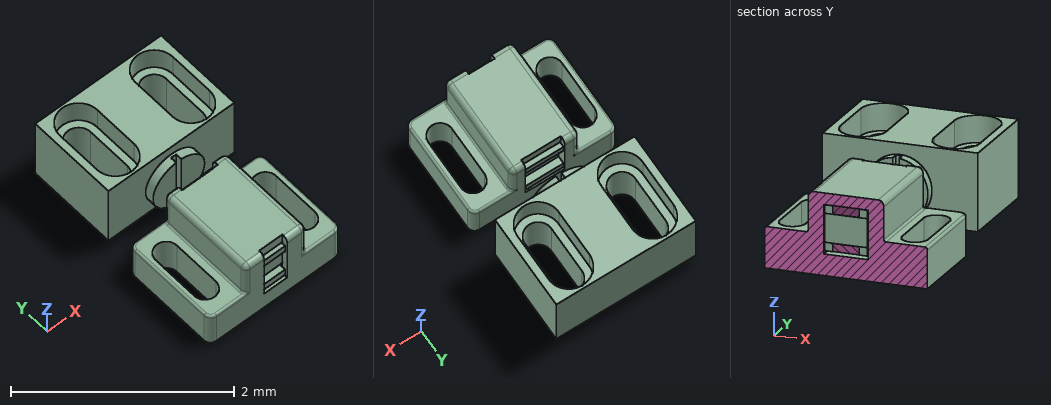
import cadquery as cq

housing_width = 1.57
housing_length = 1.10
flange_height = 0.40
hub_width = 0.73
hub_height = 0.79
flange_corner_radius = 0.08
flange_edge_radius = 0.025
hub_edge_radius = 0.058
hub_root_radius = 0.02
flange_slot_width = 0.25
flange_slot_length = 0.78
flange_slot_spacing = 1.18

cavity_floor = 0.21
opening_depth = 0.067
front_opening_width = 0.275
rear_opening_width = 0.425

plate_thickness = 0.08
lower_plate_bottom = 0.24
magnet_height = 0.275
magnet_front = 0.09
plate_side_clearance = 0.0085
plate_front_recess = 0.018
plate_rear_recess = 0.01

block_width = 1.50
block_length = 1.00
block_height = 0.75
block_bottom = 0.105
block_gap = 0.32
block_slot_spacing = 0.90
block_slot_straight = 0.50
block_slot_width = 0.28
counterbore_width = 0.44
counterbore_depth = 0.26

screw_diameter = 0.614
screw_head_height = 0.10
screw_axis_z = 0.44
driver_slot_width = 0.06
driver_slot_depth = 0.07

housing_middle_y = housing_length / 2
lower_plate_top = lower_plate_bottom + plate_thickness
upper_plate_bottom = lower_plate_top + magnet_height
upper_plate_top = upper_plate_bottom + plate_thickness
tab_width = front_opening_width - 2 * plate_side_clearance
plate_width = rear_opening_width - 2 * plate_side_clearance
plate_rear = housing_length - plate_rear_recess
block_front = housing_length + block_gap
block_middle_y = block_front + block_length / 2
block_top = block_bottom + block_height


def box_between(width, y_front, y_rear, z_bottom, z_top):
    """A box centred on x = 0 between the given y and z limits."""
    middle_y = (y_front + y_rear) / 2
    return (
        cq.Workplane("XY", origin=(0, middle_y, z_bottom))
        .box(width, y_rear - y_front, z_top - z_bottom, centered=(True, True, False))
    )


def slot_pair(spacing, middle_y, length, width, z_bottom, z_top):
    """Two upright slot-shaped cutters, long in Y, on either side of x = 0."""
    return (
        cq.Workplane("XY", origin=(0, middle_y, z_bottom))
        .pushPoints([(-spacing / 2, 0), (spacing / 2, 0)])
        .slot2D(length, width, 90)
        .extrude(z_top - z_bottom)
    )


def make_flange():
    """The rounded plate that carries the two mounting slots."""
    plate = box_between(housing_width, 0, housing_length, 0, flange_height)
    plate = plate.edges("|Z").fillet(flange_corner_radius)
    return plate.faces(">Z").edges().fillet(flange_edge_radius)


def make_hub():
    """The rounded raised middle, flush with the flange at both ends."""
    hub = box_between(hub_width, 0, housing_length, 0, hub_height)
    return hub.edges("|Z or >Z").fillet(hub_edge_radius)


def blend_hub_root(body):
    """Fillet the two inner corners where the hub sides rise from the flange top."""
    reach_x = hub_width / 2 + hub_root_radius
    root_region = cq.selectors.BoxSelector(
        (-reach_x, 0, flange_height - hub_root_radius),
        (reach_x, housing_length, flange_height + hub_root_radius),
    )
    return body.edges(root_region).edges("|Y").fillet(hub_root_radius)


def make_housing():
    """Flange and hub with mounting slots, end openings and the cavity that joins them."""
    body = blend_hub_root(make_flange().union(make_hub()))
    mounting_slots = slot_pair(
        flange_slot_spacing, housing_middle_y, flange_slot_length, flange_slot_width, 0, flange_height,
    )
    rear_wall = housing_length - opening_depth
    front_opening = box_between(front_opening_width, 0, opening_depth, cavity_floor, hub_height)
    rear_opening = box_between(rear_opening_width, rear_wall, housing_length, cavity_floor, hub_height)
    cavity = box_between(rear_opening_width, opening_depth, rear_wall, cavity_floor, upper_plate_top)
    return body.cut(mounting_slots).cut(front_opening).cut(rear_opening).cut(cavity)


def make_pole_plate(z_bottom):
    """A flat plate whose narrow tab reaches into the front opening."""
    z_top = z_bottom + plate_thickness
    tab = box_between(tab_width, plate_front_recess, magnet_front, z_bottom, z_top)
    return tab.union(box_between(plate_width, magnet_front, plate_rear, z_bottom, z_top))


def make_magnet():
    """A plain bar that fills the space between the two plates."""
    magnet_rear = housing_length - magnet_front
    return box_between(plate_width, magnet_front, magnet_rear, lower_plate_top, upper_plate_bottom)


def make_strike_block():
    """A plain block with two counterbored mounting slots."""
    block = box_between(block_width, block_front, block_front + block_length, block_bottom, block_top)
    through_slots = slot_pair(
        block_slot_spacing, block_middle_y, block_slot_straight + block_slot_width,
        block_slot_width, block_bottom, block_top,
    )
    counterbores = slot_pair(
        block_slot_spacing, block_middle_y, block_slot_straight + counterbore_width,
        counterbore_width, block_top - counterbore_depth, block_top,
    )
    return block.cut(through_slots).cut(counterbores)


def make_screw_head():
    """A disc on the block face with an upright driver slot across its front."""
    head_front = block_front - screw_head_height
    screw_radius = screw_diameter / 2
    disc = (
        cq.Workplane("XZ", origin=(0, block_front, screw_axis_z))
        .circle(screw_radius)
        .extrude(screw_head_height)
    )
    driver_slot = box_between(
        driver_slot_width, head_front, head_front + driver_slot_depth,
        screw_axis_z - screw_radius, screw_axis_z + screw_radius,
    )
    return disc.cut(driver_slot)


housing = make_housing()
pole_plates = [make_pole_plate(z_bottom) for z_bottom in (lower_plate_bottom, upper_plate_bottom)]
magnet = make_magnet()
strike_block = make_strike_block()
screw_head = make_screw_head()

result = cq.Compound.makeCompound([
    housing.val(),
    *[plate.val() for plate in pole_plates],
    magnet.val(),
    strike_block.val(),
    screw_head.val(),
])